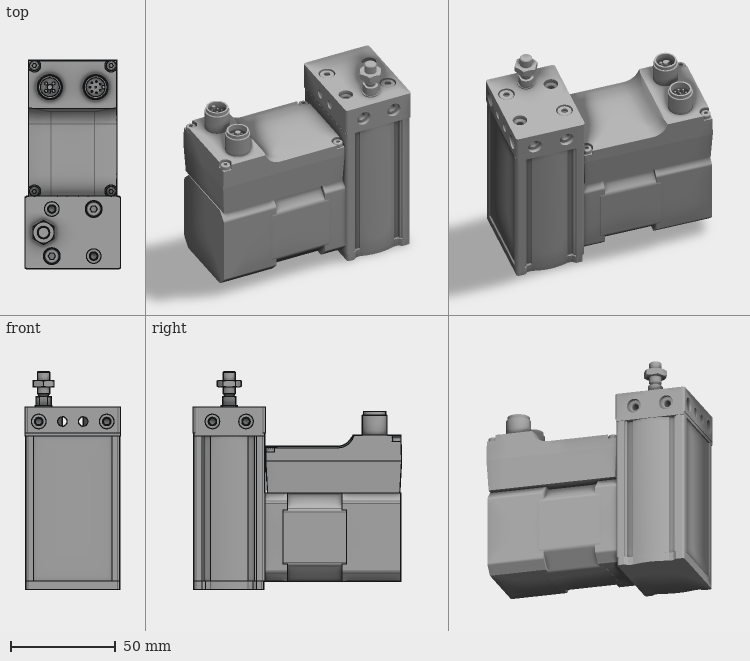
import cadquery as cq
import math


total_height = 104.2
head_width = 45.7
head_depth = 34.8
head_height = 14.0
head_lip_height = 1.5
head_lip_inset = 0.4
corner_radius = 1.1

base_height = 4.1
tube_height = 69.3
tube_width = 45.0
tube_depth = 34.1
base_depth = 33.6
panel_half_width = 18.9
panel_recess = 0.8

axis_y = head_depth / 2
tube_front = axis_y - tube_depth / 2
tube_back = tube_front + tube_depth
head_bottom = base_height + tube_height
head_top = head_bottom + head_height

bulge_half_width = 9.1
bulge_height = 1.5
groove_edge = 12.9
base_groove_depth = 1.4
base_groove_corner = 11.3
tube_groove_step = 12.0
tube_groove_shelf = 1
tube_groove_depth = 2.9
tube_groove_floor_rise = 0.3
cutter_margin = 1

counterbore_diameter = 7.0
counterbore_depth = 2.1
countersink_diameter = 4.1
core_diameter = 3.2
core_depth = 8.5
drill_tip_angle = 118
side_hole_z = head_bottom + head_height / 2
front_hole_x = 16.3
side_hole_offset = 8.0
cross_hole_x = 5.0
cross_hole_diameter = 4.5
bolt_x = 10.0
bolt_offset = 11.3
screw_recess_diameter = 8.0
screw_head_diameter = 7.0
screw_head_drop = 0.3
screw_head_fillet = 0.4
screw_socket_flats = 3.0
screw_socket_depth = 1.6

rod_x = -14.0
rod_diameter = 8.0
rod_stand_out = 0.6
collar_diameter = 7.4
collar_flats = 6.4
collar_top = 92.2
neck_diameter = 4.7
neck_height = 0.7
thread_diameter = 5.9
thread_bottom = 93.8
thread_chamfer = 0.4
nut_flats = 10.0
nut_height = 3.2
nut_bottom = 96.8
nut_edge_drop = 0.4

motor_back = 99.4
motor_size = 42.2
motor_flat = 33.6
motor_edge_radius = 1.6
motor_seat_z = 46.2
stator_size = 42.5
stator_flat = 26
stator_edge_radius = 2.4
stator_front = 43.1
stator_length = 30.3
front_flange_back = 45.3
rear_cap_front = 71.3
motor_axis_z = motor_seat_z - motor_size / 2

cover_width = 42.3
cover_front = head_depth
cover_back = 99.8
box_top = 61.4
box_draft_inset = 0.8
lid_end_inset = 0.3
lid_top = 73.8
valley_z = 68.6
valley_end_y = 69.2
valley_radius = 7.3
valley_angle = 55
crown_flat_half = 10.4
crown_drop = 0.8

lid_screw_x = 18.3
lid_screw_front_y = 37.1
lid_screw_back_y = 97.2
lid_pocket_diameter = 6.0
lid_notch_reach = 1.9
lid_pocket_depth = 2.9
lid_screw_diameter = 4.7
lid_screw_height = 2.2
lid_screw_fillet = 0.6
lid_socket_flats = 1.9
lid_socket_depth = 1.3

connector_x = 10.9
connector_y = 86.9
connector_diameter = 12.0
connector_shoulder = 83.4
rim_diameter = 10.7
rim_top = 85.1
shoulder_chamfer = 0.2
bore_diameter = 9.1
bore_depth = 6.8
pin_height = 4.2
power_pin_diameter = 1.5
power_pin_offset = 1.8
power_post_diameter = 2.5
power_post_height = 5.7
power_key_width = 0.6
power_key_reach = 2.7
signal_pin_diameter = 0.8
signal_pin_radius = 2.7
signal_pin_step = 49
signal_pins_per_side = 3
signal_key_x = 3.9
signal_key_diameter = 1.7


def block(x_size, y_from, y_to, z_from, z_to):
    """Box centred on X = 0."""
    box = cq.Workplane("XY").box(x_size, y_to - y_from, z_to - z_from, centered=(True, False, False))
    return box.translate((0, y_from, z_from))


def cylinder(x, y, z_from, z_to, diameter):
    """Upright cylinder."""
    return cq.Workplane("XY", origin=(x, y, z_from)).circle(diameter / 2).extrude(z_to - z_from)


def hex_prism(x, y, z_from, z_to, flats, turn=0):
    """Upright hexagonal prism with two corners along X, or turned by an angle."""
    prism = cq.Workplane("XY").polygon(6, flats / math.cos(math.pi / 6)).extrude(z_to - z_from)
    return prism.rotate((0, 0, 0), (0, 0, 1), turn).translate((x, y, z_from))


def side_cutter(groove_points, height):
    """Everything outside the -X side contour, from Z = 0; the contour is symmetric about axis_y.

    groove_points run from the outer groove edge to the bulge as (distance from the axis, depth).
    """
    face_x = -tube_width / 2
    outside_x = face_x - cutter_margin
    rear = [(face_x + depth, axis_y + offset) for offset, depth in groove_points]
    front = [(face_x + depth, axis_y - offset) for offset, depth in reversed(groove_points)]
    contour = cq.Workplane("XY").moveTo(outside_x, axis_y + groove_edge)
    for point in rear:
        contour = contour.lineTo(*point)
    contour = contour.threePointArc((face_x, axis_y), front[0])
    for point in front[1:]:
        contour = contour.lineTo(*point)
    return contour.lineTo(outside_x, axis_y - groove_edge).close().extrude(height)


def profile(depth, height, groove_points):
    """Upright bar with rounded corners and the groove and bulge contour on both X sides."""
    bar = block(tube_width, tube_front, tube_front + depth, 0, height).edges("|Z").fillet(corner_radius)
    cutter = side_cutter(groove_points, height)
    return bar.cut(cutter).cut(cutter.mirror("YZ"))


def make_base_plate():
    groove_points = [
        (groove_edge, 0),
        (base_groove_corner, base_groove_depth),
        (bulge_half_width, bulge_height),
    ]
    return profile(base_depth, base_height, groove_points)


def make_tube():
    groove_points = [
        (groove_edge, 0),
        (groove_edge, tube_groove_shelf),
        (tube_groove_step, tube_groove_shelf),
        (tube_groove_step, tube_groove_depth),
        (bulge_half_width, tube_groove_depth - tube_groove_floor_rise),
        (bulge_half_width, bulge_height),
    ]
    tube = profile(tube_depth, tube_height, groove_points)
    panel = block(2 * panel_half_width, tube_front, tube_front + panel_recess, 0, tube_height)
    return tube.cut(panel).translate((0, 0, base_height))


def mounting_hole_cutter():
    """Counterbored, countersunk blind hole with a drill tip, opening at Z = 0 and going down."""
    bore_r = counterbore_diameter / 2
    sink_r = countersink_diameter / 2
    core_r = core_diameter / 2
    core_start = -counterbore_depth - (sink_r - core_r)
    tip_height = core_r / math.tan(math.radians(drill_tip_angle / 2))
    points = [
        (0, 0),
        (bore_r, 0),
        (bore_r, -counterbore_depth),
        (sink_r, -counterbore_depth),
        (core_r, core_start),
        (core_r, -core_depth),
        (0, -core_depth - tip_height),
    ]
    return cq.Workplane("XZ").polyline(points).close().revolve(360, (0, 0), (0, 1))


def make_head():
    shoulder_z = head_bottom + head_lip_height
    head = block(head_width, 0, head_depth, shoulder_z, head_top).edges("|Z").fillet(corner_radius)
    head = head.union(block(head_width, head_lip_inset, head_depth - head_lip_inset, head_bottom, shoulder_z))

    hole = mounting_hole_cutter()
    front_hole = hole.rotate((0, 0, 0), (1, 0, 0), 90)
    left_hole = hole.rotate((0, 0, 0), (0, 1, 0), -90)
    right_hole = hole.rotate((0, 0, 0), (0, 1, 0), 90)
    for side in (-1, 1):
        head = head.cut(front_hole.translate((side * front_hole_x, 0, side_hole_z)))
        head = head.cut(left_hole.translate((-head_width / 2, axis_y + side * side_hole_offset, side_hole_z)))
        head = head.cut(right_hole.translate((head_width / 2, axis_y + side * side_hole_offset, side_hole_z)))
        head = head.cut(hole.translate((side * bolt_x, axis_y - side * bolt_offset, head_top)))
        cross_hole = (
            cq.Workplane("XZ", origin=(side * cross_hole_x, 0, side_hole_z))
            .circle(cross_hole_diameter / 2)
            .extrude(-head_depth)
        )
        head = head.cut(cross_hole)
        head = add_head_screw(head, side * bolt_x, axis_y + side * bolt_offset)
    return head.cut(cylinder(rod_x, axis_y, head_bottom, head_top, rod_diameter))


def add_head_screw(head, x, y):
    """Sunk socket-head screw, one piece with the head."""
    seat_z = head_top - counterbore_depth
    screw_top = head_top - screw_head_drop
    recess = cylinder(x, y, seat_z, head_top, screw_recess_diameter)
    screw = cylinder(x, y, seat_z, screw_top, screw_head_diameter)
    screw = screw.faces(">Z").edges().fillet(screw_head_fillet)
    socket = hex_prism(x, y, screw_top - screw_socket_depth, screw_top, screw_socket_flats)
    return head.cut(recess).union(screw).cut(socket)


def make_piston_rod():
    collar_bottom = head_top + rod_stand_out
    shaft = cylinder(0, 0, head_bottom, collar_bottom, rod_diameter)
    collar = cylinder(0, 0, collar_bottom, collar_top, collar_diameter)
    half_flats = collar_flats / 2
    collar = collar.intersect(block(rod_diameter, -half_flats, half_flats, collar_bottom, collar_top))
    neck_r = neck_diameter / 2
    thread_r = thread_diameter / 2
    end_points = [
        (0, collar_top),
        (neck_r, collar_top),
        (neck_r, collar_top + neck_height),
        (thread_r, thread_bottom),
        (thread_r, total_height - thread_chamfer),
        (thread_r - thread_chamfer, total_height),
        (0, total_height),
    ]
    threaded_end = cq.Workplane("XZ").polyline(end_points).close().revolve(360, (0, 0), (0, 1))
    return shaft.union(collar).union(threaded_end).translate((rod_x, axis_y, 0))


def make_nut():
    """Hexagonal nut, its corners cut back by 30 degree cones."""
    corner_r = nut_flats / 2 / math.cos(math.pi / 6)
    cutback = nut_edge_drop / math.tan(math.pi / 6)
    nut_top = nut_bottom + nut_height
    prism = hex_prism(0, 0, nut_bottom, nut_top, nut_flats, turn=30)
    cone_points = [
        (0, nut_bottom),
        (corner_r - cutback, nut_bottom),
        (corner_r, nut_bottom + nut_edge_drop),
        (corner_r, nut_top - nut_edge_drop),
        (corner_r - cutback, nut_top),
        (0, nut_top),
    ]
    envelope = cq.Workplane("XZ").polyline(cone_points).close().revolve(360, (0, 0), (0, 1))
    bore = cylinder(0, 0, nut_bottom, nut_top, thread_diameter)
    return prism.intersect(envelope).cut(bore).translate((rod_x, axis_y, 0))


def motor_section(size, flat, y_from, y_to):
    """Square bar along Y with 45 degree corners that leave the given flat."""
    bar = cq.Workplane("XZ", origin=(0, y_from, motor_axis_z)).rect(size, size).extrude(y_from - y_to)
    return bar.edges("|Y").chamfer((size - flat) / 2)


def end_section(y_from, y_to):
    """End of the motor, rounded where the corners meet the X sides."""
    section = motor_section(motor_size, motor_flat, y_from, y_to)
    return section.edges("|Y and (<X or >X)").fillet(motor_edge_radius)


def make_stator():
    section = motor_section(stator_size, stator_flat, stator_front, stator_front + stator_length)
    return section.edges("|Y").fillet(stator_edge_radius)


def make_motor():
    flange = end_section(tube_back, front_flange_back)
    rear_cap = end_section(rear_cap_front, motor_back)
    return make_stator().union(flange).union(rear_cap)


def tapered_cover(z_from, z_to, x_inset, y_inset):
    """Block with the full cover size at z_from, narrowed on each side by the insets at z_to."""
    length = cover_back - cover_front
    return (
        cq.Workplane("XY", origin=(0, cover_front + length / 2, z_from))
        .rect(cover_width, length)
        .workplane(offset=z_to - z_from)
        .rect(cover_width - 2 * x_inset, length - 2 * y_inset)
        .loft()
    )


def make_electronics_box():
    """Box that tapers downward, with a shallow seat for the stator."""
    return tapered_cover(box_top, motor_seat_z, box_draft_inset, box_draft_inset).cut(make_stator())


def crown_space(floor_z, ceiling_z):
    """Section in the XZ plane above the crowned valley floor: flat middle, sides curving down."""
    half = cover_width / 2
    run = half - crown_flat_half
    crown_radius = (run**2 + crown_drop**2) / (2 * crown_drop)
    mid_angle = math.asin(run / crown_radius) / 2
    mid_x = crown_flat_half + crown_radius * math.sin(mid_angle)
    mid_z = floor_z - crown_radius * (1 - math.cos(mid_angle))
    return (
        cq.Workplane("XZ", origin=(0, valley_end_y, 0))
        .moveTo(-half, ceiling_z)
        .lineTo(-half, floor_z - crown_drop)
        .threePointArc((-mid_x, mid_z), (-crown_flat_half, floor_z))
        .lineTo(crown_flat_half, floor_z)
        .threePointArc((mid_x, mid_z), (half, floor_z - crown_drop))
        .lineTo(half, ceiling_z)
        .close()
    )


def valley_cutter():
    """Space above the low part of the lid: crowned floor, curved rise and a tangent slope."""
    pivot_z = valley_z + valley_radius
    floor = crown_space(valley_z, pivot_z).extrude(valley_end_y - cover_front)
    rise = crown_space(valley_z, pivot_z).revolve(90, (0, pivot_z, 0), (1, pivot_z, 0))
    angle = math.radians(valley_angle)
    slope_y = valley_end_y + valley_radius * math.sin(angle)
    slope_z = pivot_z - valley_radius * math.cos(angle)
    slope_end_y = slope_y + (pivot_z - slope_z) / math.tan(angle)
    slope = (
        cq.Workplane("YZ", origin=(-cover_width / 2, 0, 0))
        .polyline([(valley_end_y, pivot_z), (slope_y, slope_z), (slope_end_y, pivot_z)])
        .close()
        .extrude(cover_width)
    )
    return floor.union(rise).union(slope)


def add_lid_screw(lid, side, y, end_y, surface_z):
    """Screw head in a round pocket that opens at the lid corner, one piece with the lid."""
    x = side * lid_screw_x
    seat_z = surface_z - lid_pocket_depth
    screw_top = seat_z + lid_screw_height
    pocket = cylinder(x, y, seat_z, lid_top, lid_pocket_diameter)
    inner_y = y - math.copysign(lid_notch_reach, end_y - y)
    notch_width = cover_width / 2 - lid_screw_x
    notch = block(notch_width, min(inner_y, end_y), max(inner_y, end_y), seat_z, lid_top)
    pocket = pocket.union(notch.translate((side * (lid_screw_x + notch_width / 2), 0, 0)))
    screw = cylinder(x, y, seat_z, screw_top, lid_screw_diameter)
    screw = screw.faces(">Z").edges().fillet(lid_screw_fillet)
    socket = hex_prism(x, y, screw_top - lid_socket_depth, screw_top, lid_socket_flats)
    return lid.cut(pocket).union(screw).cut(socket)


def connector_shell(x):
    floor_z = rim_top - bore_depth
    shell = cylinder(x, connector_y, lid_top, connector_shoulder, connector_diameter)
    shell = shell.faces(">Z").edges().chamfer(shoulder_chamfer)
    rim = cylinder(x, connector_y, connector_shoulder, rim_top, rim_diameter)
    return shell.union(rim).cut(cylinder(x, connector_y, floor_z, rim_top, bore_diameter))


def make_power_connector(x):
    """Connector with four pins around a keyed post."""
    floor_z = rim_top - bore_depth
    pin_top = floor_z + pin_height
    post_top = floor_z + power_post_height
    connector = connector_shell(x)
    for side in (-1, 1):
        for end in (-1, 1):
            pin_x = x + side * power_pin_offset
            pin_y = connector_y + end * power_pin_offset
            connector = connector.union(cylinder(pin_x, pin_y, floor_z, pin_top, power_pin_diameter))
    key = block(power_key_width, connector_y - power_key_reach, connector_y, floor_z, pin_top)
    post = cylinder(x, connector_y, floor_z, post_top, power_post_diameter)
    return connector.union(post).union(key.translate((x, 0, 0)))


def make_signal_connector(x):
    """Connector with a centre pin, seven pins on a circle and a key in the bore."""
    floor_z = rim_top - bore_depth
    pin_top = floor_z + pin_height
    connector = connector_shell(x).union(cylinder(x, connector_y, floor_z, pin_top, signal_pin_diameter))
    for step in range(-signal_pins_per_side, signal_pins_per_side + 1):
        angle = math.radians(180 + step * signal_pin_step)
        pin_x = x + signal_pin_radius * math.cos(angle)
        pin_y = connector_y + signal_pin_radius * math.sin(angle)
        connector = connector.union(cylinder(pin_x, pin_y, floor_z, pin_top, signal_pin_diameter))
    key = cylinder(x + signal_key_x, connector_y, floor_z, connector_shoulder, signal_key_diameter)
    return connector.union(key)


def make_lid():
    lid = tapered_cover(box_top, lid_top, 0, lid_end_inset).cut(valley_cutter())
    for side in (-1, 1):
        lid = add_lid_screw(lid, side, lid_screw_front_y, cover_front, valley_z)
        lid = add_lid_screw(lid, side, lid_screw_back_y, cover_back, lid_top)
    return lid.union(make_power_connector(-connector_x)).union(make_signal_connector(connector_x))


base_plate = make_base_plate()
tube = make_tube()
head = make_head()
piston_rod = make_piston_rod()
nut = make_nut()
motor = make_motor()
electronics_box = make_electronics_box()
lid = make_lid()

bodies = [base_plate, tube, head, piston_rod, nut, motor, electronics_box, lid]
result = cq.Compound.makeCompound([body.solids().val() for body in bodies])